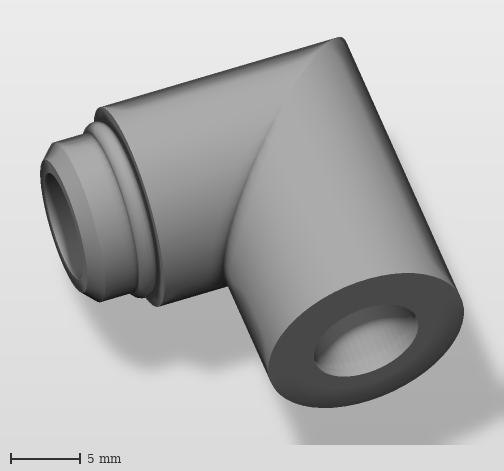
import cadquery as cq

overall_length = 24.5
tube_diameter = 15.0
bore_diameter = 8.0

spigot_length = 5.0
spigot_diameter = 12.0
tip_chamfer = 1.0

ring_outer_diameter = 13.2
ring_width = 1.5
ring_section_radius = ring_width / 2

tube_radius = tube_diameter / 2
leg_reach = overall_length - tube_radius
mitre_normal = cq.Vector(1, 1, 0)
shoulder_reach = leg_reach - spigot_length


def mitred_leg(diameter, reach):
    """Cylinder towards -Y, cut at 45 degrees by the plane x + y = 0."""
    radius = diameter / 2
    cylinder = (
        cq.Workplane("XZ")
        .workplane(offset=-radius)
        .circle(radius)
        .extrude(reach + radius)
    )
    mitre_side = (
        cq.Workplane("XY")
        .polyline([(-radius, radius), (radius, -radius), (radius, -reach), (-radius, -reach)])
        .close()
        .extrude(radius, both=True)
    )
    return cylinder.intersect(mitre_side)


def elbow(diameter, spigot_side_reach, tube_side_reach):
    """Two mitred legs meeting at right angles, towards -Y and +X."""
    spigot_side = mitred_leg(diameter, spigot_side_reach)
    tube_side = mitred_leg(diameter, tube_side_reach).mirror(mitre_normal)
    return spigot_side.union(tube_side)


def spigot():
    """Plain plug below the shoulder with a chamfered tip."""
    return (
        cq.Workplane("XZ")
        .workplane(offset=shoulder_reach)
        .circle(spigot_diameter / 2)
        .extrude(spigot_length)
        .faces("<Y")
        .chamfer(tip_chamfer)
    )


def sealing_ring():
    """O-ring seated on the spigot against the shoulder."""
    centre_radius = ring_outer_diameter / 2 - ring_section_radius
    return (
        cq.Workplane("XY")
        .center(centre_radius, -shoulder_reach - ring_section_radius)
        .circle(ring_section_radius)
        .revolve(360, (-centre_radius, 0), (-centre_radius, 1))
    )


body = elbow(tube_diameter, shoulder_reach, leg_reach)
bore = elbow(bore_diameter, leg_reach, leg_reach)
result = body.union(spigot()).union(sealing_ring()).cut(bore)